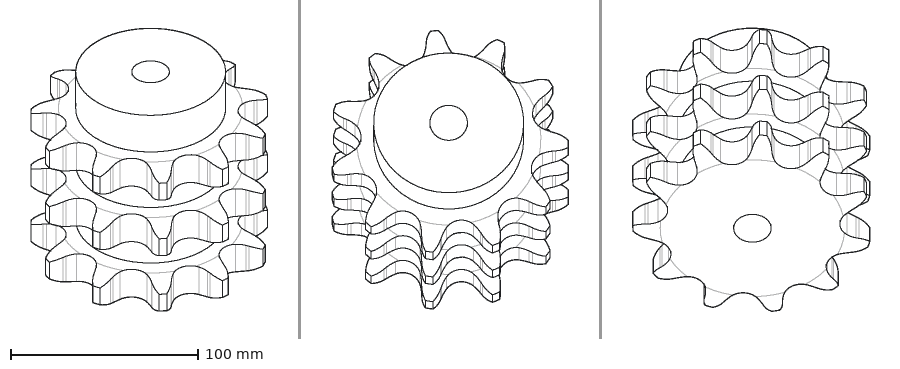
import cadquery as cq
import math


TOOTH_COUNT = 11
CHAIN_PITCH = 31.75
ROLLER_DIAMETER = 19.05
STRAND_SPACING = 36.4
STRAND_COUNT = 3

TIP_DIAMETER = 127.8
ROW_THICKNESS = 18.2
SIDE_ROUNDING_RADIUS = 32.0
SIDE_FLAT_RADIUS = 49.2

HUB_DIAMETER = 80.0
BORE_DIAMETER = 20.0
TOTAL_HEIGHT = 115.0

SEAT_ALLOWANCE = 0.076
FLANK_ALLOWANCE = 0.038
WORKING_FACTOR = 1.3025
WORKING_CENTER_FACTOR = 0.8
TOPPING_CENTER_FACTOR = 1.4
PITCH_RADIUS = CHAIN_PITCH / 2 / math.sin(math.pi / TOOTH_COUNT)
TOOTH_STEP_DEG = 360 / TOOTH_COUNT
SEAT_RADIUS = (1.005 * ROLLER_DIAMETER + SEAT_ALLOWANCE) / 2
SEAT_HALF_SWEEP_DEG = 90 - (35 + 60 / TOOTH_COUNT)
WORKING_RADIUS = WORKING_FACTOR * ROLLER_DIAMETER + FLANK_ALLOWANCE
WORKING_SWEEP_DEG = 18 - 56 / TOOTH_COUNT
TOPPING_ANGLE_DEG = 17 - 64 / TOOTH_COUNT
STRAIGHT_LENGTH = ROLLER_DIAMETER * (
    TOPPING_CENTER_FACTOR * math.sin(math.radians(TOPPING_ANGLE_DEG))
    - WORKING_CENTER_FACTOR * math.sin(math.radians(WORKING_SWEEP_DEG))
)
TOPPING_RADIUS = ROLLER_DIAMETER * (
    WORKING_CENTER_FACTOR * math.cos(math.radians(WORKING_SWEEP_DEG))
    + TOPPING_CENTER_FACTOR * math.cos(math.radians(TOPPING_ANGLE_DEG))
    - WORKING_FACTOR
) - FLANK_ALLOWANCE
TOPPING_SWEEP_DEG = 42.0
GAP_CLEARANCE = 5.0
TIP_RADIUS = TIP_DIAMETER / 2
GAP_OUTER_RADIUS = TIP_RADIUS + GAP_CLEARANCE


def arc_from(start, heading_deg, radius, sweep_deg):
    """Middle and end points of an arc leaving start along heading; positive sweep turns left."""
    side = math.copysign(90, sweep_deg)
    to_center = math.radians(heading_deg + side)
    center_x = start[0] + radius * math.cos(to_center)
    center_y = start[1] + radius * math.sin(to_center)
    points = []
    for part_sweep in (sweep_deg / 2, sweep_deg):
        angle = math.radians(heading_deg - side + part_sweep)
        points.append((center_x + radius * math.cos(angle), center_y + radius * math.sin(angle)))
    return points


def half_gap():
    """One half of a tooth gap opening along +X, from the root out past the tip circle."""
    root = (PITCH_RADIUS - SEAT_RADIUS, 0)
    heading = 90
    seat = arc_from(root, heading, SEAT_RADIUS, -SEAT_HALF_SWEEP_DEG)
    heading -= SEAT_HALF_SWEEP_DEG
    working = arc_from(seat[1], heading, WORKING_RADIUS, -WORKING_SWEEP_DEG)
    heading -= WORKING_SWEEP_DEG
    straight_end = (
        working[1][0] + STRAIGHT_LENGTH * math.cos(math.radians(heading)),
        working[1][1] + STRAIGHT_LENGTH * math.sin(math.radians(heading)),
    )
    topping = arc_from(straight_end, heading, TOPPING_RADIUS, TOPPING_SWEEP_DEG)
    return (
        cq.Workplane("XY")
        .moveTo(*root)
        .threePointArc(*seat)
        .threePointArc(*working)
        .lineTo(*straight_end)
        .threePointArc(*topping)
        .lineTo(GAP_OUTER_RADIUS, topping[1][1])
        .lineTo(GAP_OUTER_RADIUS, 0)
        .close()
        .extrude(ROW_THICKNESS)
    )


def row_blank():
    """Disc with both faces curving towards each other near the tooth tips."""
    def side_drop(radius):
        reach = radius - SIDE_FLAT_RADIUS
        return SIDE_ROUNDING_RADIUS - math.sqrt(SIDE_ROUNDING_RADIUS**2 - reach**2)

    middle_radius = (SIDE_FLAT_RADIUS + TIP_RADIUS) / 2
    middle_drop = side_drop(middle_radius)
    tip_drop = side_drop(TIP_RADIUS)
    return (
        cq.Workplane("XZ")
        .lineTo(SIDE_FLAT_RADIUS, 0)
        .threePointArc((middle_radius, middle_drop), (TIP_RADIUS, tip_drop))
        .lineTo(TIP_RADIUS, ROW_THICKNESS - tip_drop)
        .threePointArc((middle_radius, ROW_THICKNESS - middle_drop), (SIDE_FLAT_RADIUS, ROW_THICKNESS))
        .lineTo(0, ROW_THICKNESS)
        .close()
        .revolve(360, (0, 0, 0), (0, 1, 0))
    )


def tooth_row():
    """One row of teeth, with a gap centred on +Y and a tooth on -Y."""
    upper_half = half_gap()
    gap = upper_half.union(upper_half.mirror("XZ"))
    row = row_blank()
    for index in range(TOOTH_COUNT):
        row = row.cut(gap.rotate((0, 0, 0), (0, 0, 1), 90 + index * TOOTH_STEP_DEG))
    return row


def sprocket():
    """Tooth rows on a common hub with a through bore."""
    body = cq.Workplane("XY").circle(HUB_DIAMETER / 2).extrude(TOTAL_HEIGHT)
    row = tooth_row()
    for index in range(STRAND_COUNT):
        body = body.union(row.translate((0, 0, index * STRAND_SPACING)))
    bore = cq.Workplane("XY").circle(BORE_DIAMETER / 2).extrude(TOTAL_HEIGHT)
    return body.cut(bore)


result = sprocket()